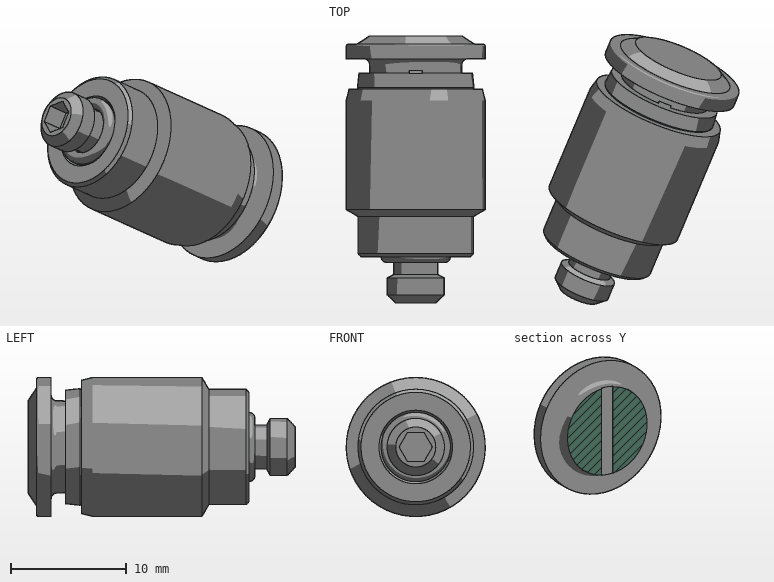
import cadquery as cq
import math


thread_radius = 2.48
tip_radius = 1.73
tip_chamfer_length = 0.71
thread_end = 2.18
neck_radius = 1.92
thread_runout_end = 2.47
hex_across_flats = 2.5
hex_depth = 2.0

seat = 4.0
seat_radius = 5.0
seat_chamfer = 0.27
body_radius = 6.02
seat_cylinder_end = 7.48
body_start = 8.08
body_end = 17.5
body_taper_end = 18.5
body_taper_radius = 5.77

seal_section_radius = 0.5
seal_centre_radius = 2.5
groove_mouth_radius = 3.18
groove_floor_radius = 3.0
groove_depth = 0.3

guide_chamfer_radius = 4.95
guide_start = 18.62
guide_end = 19.87
guide_large_radius = 5.05
guide_small_radius = 4.92

stem_radius = 4.0
stem_fillet = 0.48
flange_front = 21.1
flange_rear = 22.38
flange_edge_fillet = 0.2
dome_base_radius = 5.1
dome_top_radius = 4.0
total_length = 23.1

slit_width = 1.1
slit_height = 0.2


def arc_middle(centre_radius, centre_y, arc_radius, radial_sign, axial_sign):
    """Middle point of a quarter arc lying in the given quadrant around its centre."""
    offset = arc_radius * math.sqrt(0.5)
    return (centre_radius + radial_sign * offset, centre_y + axial_sign * offset)


def turned_body():
    """Revolve the outer half profile, given as (radius, y), around the Y axis."""
    stem_fillet_radius = stem_radius + stem_fillet
    stem_fillet_start = flange_front - stem_fillet
    edge_radius = body_radius - flange_edge_fillet
    edge_start = flange_rear - flange_edge_fillet
    profile = (
        cq.Workplane("ZY")
        .moveTo(0, 0)
        .lineTo(tip_radius, 0)
        .lineTo(thread_radius, tip_chamfer_length)
        .lineTo(thread_radius, thread_end)
        .lineTo(neck_radius, thread_runout_end)
        .lineTo(neck_radius, seat)
        .lineTo(seat_radius - seat_chamfer, seat)
        .lineTo(seat_radius, seat + seat_chamfer)
        .lineTo(seat_radius, seat_cylinder_end)
        .lineTo(body_radius, body_start)
        .lineTo(body_radius, body_end)
        .lineTo(body_taper_radius, body_taper_end)
        .lineTo(guide_chamfer_radius, body_taper_end)
        .lineTo(guide_large_radius, guide_start)
        .lineTo(guide_small_radius, guide_end)
        .lineTo(stem_radius, guide_end)
        .lineTo(stem_radius, stem_fillet_start)
        .threePointArc(
            arc_middle(stem_fillet_radius, stem_fillet_start, stem_fillet, -1, 1),
            (stem_fillet_radius, flange_front),
        )
        .lineTo(body_radius, flange_front)
        .lineTo(body_radius, edge_start)
        .threePointArc(
            arc_middle(edge_radius, edge_start, flange_edge_fillet, 1, 1),
            (edge_radius, flange_rear),
        )
        .lineTo(dome_base_radius, flange_rear)
        .lineTo(dome_top_radius, total_length)
        .lineTo(0, total_length)
        .close()
    )
    return profile.revolve(360, (0, 0), (0, 1))


def seal_groove():
    """Ring-shaped recess in the seat face with a flared outer wall."""
    floor = seat + groove_depth
    profile = (
        cq.Workplane("ZY")
        .moveTo(neck_radius, seat)
        .lineTo(groove_mouth_radius, seat)
        .lineTo(groove_floor_radius, floor)
        .lineTo(neck_radius, floor)
        .close()
    )
    return profile.revolve(360, (0, 0), (0, 1))


def seal_ring():
    """Round-section ring centred on the seat plane, half of it standing proud."""
    section = cq.Workplane("ZY").center(seal_centre_radius, seat).circle(seal_section_radius)
    return section.revolve(360, (-seal_centre_radius, 0), (-seal_centre_radius, 1))


def hex_socket():
    """Hexagonal key socket in the tip, with two flats facing up and down."""
    across_corners = hex_across_flats / math.cos(math.pi / 6)
    return cq.Workplane("XZ").polygon(6, across_corners).extrude(-hex_depth)


def stem_slit():
    """Slit running through the stem along Z, just behind the guide ring."""
    slit_length = 2 * body_radius
    slit = cq.Workplane("XY").box(slit_width, slit_height, slit_length)
    return slit.translate((0, guide_end + slit_height / 2, 0))


result = turned_body().cut(seal_groove()).union(seal_ring()).cut(hex_socket()).cut(stem_slit())